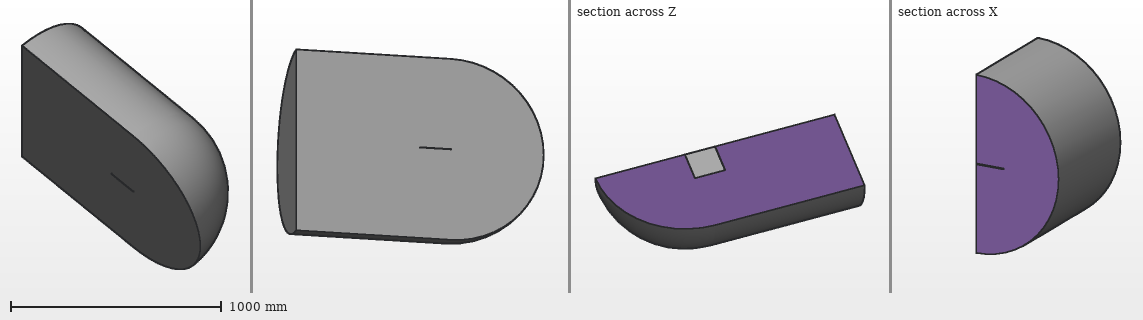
import cadquery as cq

length = 1200.0
radius = 450.0
barrel_length = length - radius

slit_length = 150.0
slit_height = 2.0
slit_depth = slit_length


def half_capsule():
    """Barrel and round nose, revolved about the X axis, keeping the +Y half."""
    nose_diagonal = radius * 0.5**0.5
    profile = (
        cq.Workplane("XY")
        .lineTo(length, 0)
        .threePointArc((barrel_length + nose_diagonal, nose_diagonal), (barrel_length, radius))
        .lineTo(0, radius)
        .close()
    )
    whole = profile.revolve(360, (0, 0, 0), (1, 0, 0))
    keep = cq.Workplane("XY").box(length, radius, 2 * radius, centered=(False, False, True))
    return whole.intersect(keep)


def slit():
    """Thin pocket sunk from the flat face along +Y."""
    return (
        cq.Workplane("XY")
        .box(slit_length, slit_depth, slit_height, centered=(False, False, True))
        .translate((barrel_length - slit_length, 0, 0))
    )


result = half_capsule().cut(slit())